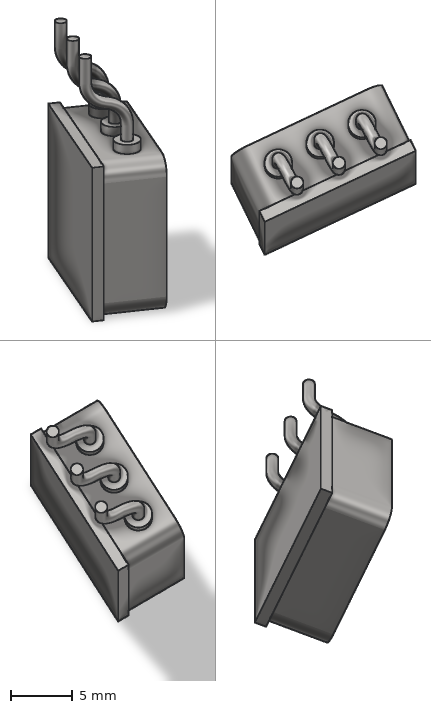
import cadquery as cq
import math

body_size = 13.72
housing_depth = 5.35
corner_radius = 1.52

plate_thickness = 1.0

collar_diameter = 2.28
collar_height = 0.83

pin_count = 3
pin_pitch = 3.8
pin_diameter = 1.0
pin_to_back = 2.55
pin_offset = 3.55
pin_root_length = 2.25
bend_radius = 2.03
bend_angle = math.radians(75)
overall_height = 22.35

pin_root_y = housing_depth - pin_to_back
pin_tip_y = pin_root_y - pin_offset


def make_plate():
    return cq.Workplane("XY").box(
        body_size, plate_thickness, body_size, centered=(True, False, False)
    ).translate((0, -plate_thickness, 0))


def make_housing_block():
    block = cq.Workplane("XY").box(
        body_size, housing_depth, body_size, centered=(True, False, False)
    )
    return block.edges("|Y").fillet(corner_radius)


def make_collar(x):
    return (
        cq.Workplane("XY", origin=(x, pin_root_y, body_size))
        .circle(collar_diameter / 2)
        .extrude(collar_height)
    )


def bend_point(angle):
    """Forward shift and rise along a bend that starts out vertical."""
    return bend_radius * (1 - math.cos(angle)), bend_radius * math.sin(angle)


def pin_axis(x):
    """Centre line of a pin: root, bend, sloping stretch, opposite bend, tip."""
    mid_shift, mid_rise = bend_point(bend_angle / 2)
    shift, rise = bend_point(bend_angle)
    slope_rise = (pin_offset - 2 * shift) / math.tan(bend_angle)
    bend_start_z = body_size + pin_root_length
    bend_end_z = bend_start_z + 2 * rise + slope_rise
    return (
        cq.Workplane("YZ", origin=(x, 0, 0))
        .moveTo(pin_root_y, body_size)
        .lineTo(pin_root_y, bend_start_z)
        .threePointArc(
            (pin_root_y - mid_shift, bend_start_z + mid_rise),
            (pin_root_y - shift, bend_start_z + rise),
        )
        .lineTo(pin_tip_y + shift, bend_end_z - rise)
        .threePointArc(
            (pin_tip_y + mid_shift, bend_end_z - mid_rise),
            (pin_tip_y, bend_end_z),
        )
        .lineTo(pin_tip_y, overall_height)
    )


def make_pin(x):
    return (
        cq.Workplane("XY", origin=(x, pin_root_y, body_size))
        .circle(pin_diameter / 2)
        .sweep(pin_axis(x))
    )


def make_housing():
    """Housing block in one piece with its collars and pins."""
    housing = make_housing_block()
    for index in range(pin_count):
        x = (index - (pin_count - 1) / 2) * pin_pitch
        housing = housing.union(make_collar(x)).union(make_pin(x))
    return housing


plate = make_plate()
housing = make_housing()

result = cq.Compound.makeCompound([plate.val(), housing.solids().val()])